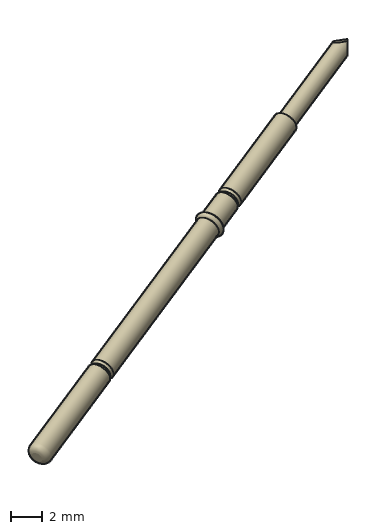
import cadquery as cq
import math

total_length = 40.0
plunger_length = 8.0
barrel_length = total_length - plunger_length
barrel_start = -total_length / 2
barrel_end = barrel_start + barrel_length
tip_end = total_length / 2

barrel_radius = 0.82
barrel_end_fillet = 0.45
plunger_radius = 0.65

collar_radius = 1.0
collar_width = 0.5
collar_center = barrel_start + 22.25

groove_depth = 0.1
groove_width = 0.45
groove_centers = [barrel_start + 8.2, barrel_start + 24.65]

facet_count = 3
facet_half_angle = 30.0


def rod(radius, start, end):
    """Solid round bar on the Y axis from start to end."""
    return cq.Workplane("XZ", origin=(0, start, 0)).circle(radius).extrude(start - end)


def make_barrel():
    """Barrel with its outer -Y edge rounded over."""
    return rod(barrel_radius, barrel_start, barrel_end).faces("<Y").edges().fillet(barrel_end_fillet)


def make_collar():
    """Ring whose rim is a full half round."""
    rim_radius = collar_width / 2
    flank_radius = collar_radius - rim_radius
    return (
        cq.Workplane("XY")
        .moveTo(0, collar_center - rim_radius)
        .lineTo(flank_radius, collar_center - rim_radius)
        .threePointArc((collar_radius, collar_center), (flank_radius, collar_center + rim_radius))
        .lineTo(0, collar_center + rim_radius)
        .close()
        .revolve(360, (0, 0, 0), (0, 1, 0))
    )


def make_groove(center):
    """Ring cutter with a V section."""
    return (
        cq.Workplane("XY")
        .moveTo(barrel_radius, center - groove_width / 2)
        .lineTo(barrel_radius - groove_depth, center)
        .lineTo(barrel_radius, center + groove_width / 2)
        .close()
        .revolve(360, (0, 0, 0), (0, 1, 0))
    )


def make_plunger():
    """Plunger rod cut to a point by equally spaced flats, the first one facing +X."""
    plunger = rod(plunger_radius, barrel_end, tip_end)
    facet_depth = plunger_radius / math.tan(math.radians(facet_half_angle))
    facet_cutter = (
        cq.Workplane("XY")
        .moveTo(0, tip_end)
        .lineTo(plunger_radius, tip_end - facet_depth)
        .lineTo(plunger_radius, tip_end)
        .close()
        .extrude(plunger_radius, both=True)
    )
    for index in range(facet_count):
        turn = index * 360 / facet_count
        plunger = plunger.cut(facet_cutter.rotate((0, 0, 0), (0, 1, 0), turn))
    return plunger


barrel = make_barrel().union(make_collar())
for groove_center in groove_centers:
    barrel = barrel.cut(make_groove(groove_center))

result = barrel.union(make_plunger())